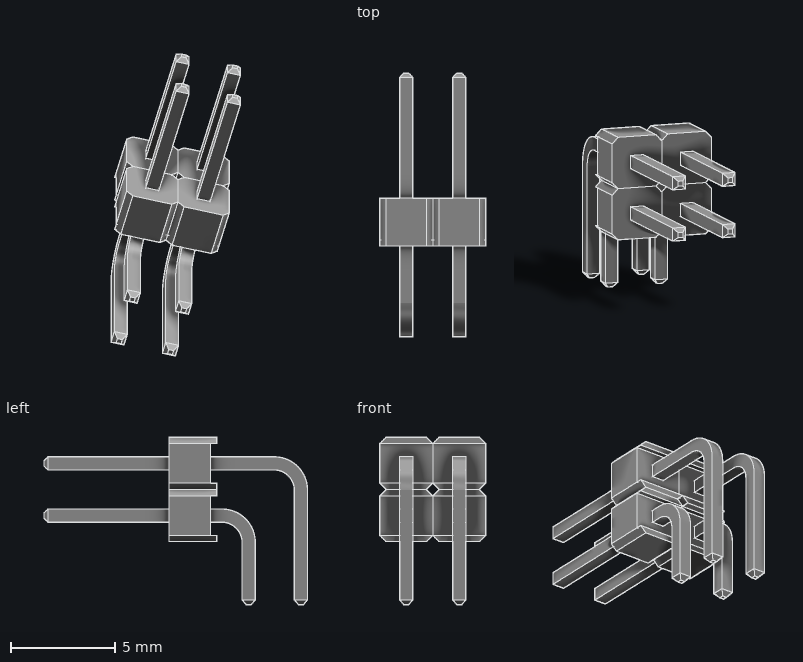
import cadquery as cq


total_length = 12.63
total_height = 8.02
column_count = 2
row_count = 2

cell_width = 2.54
cell_height = 2.5
cell_chamfer = 0.3
cell_depth = 2.3
front_recess = 0.3

pin_size = 0.65
mating_length = 5.99
inner_bend_radius = 0.96
outer_bend_radius = inner_bend_radius + pin_size
leg_pitch = cell_height
tip_inset = 0.2
mating_tip_length = 0.2
leg_tip_length = 0.24

front_leg_y = mating_length - total_length
leg_end_z = row_count * cell_height - total_height


def column_x(column):
    return (column - (column_count - 1) / 2) * cell_width


def pin_axis_z(row):
    return (row + 1 / 2) * cell_height


def make_cell(x, z):
    """One housing cell centred on the pin axis at (x, z)."""
    block = (
        cq.Workplane("XY")
        .box(cell_width, cell_depth, cell_height)
        .edges("|Y")
        .chamfer(cell_chamfer)
        .translate((0, -cell_depth / 2, 0))
    )
    recess = (
        cq.Workplane("XY")
        .box(cell_width, front_recess, cell_height - 2 * cell_chamfer)
        .translate((0, front_recess / 2 - cell_depth, 0))
    )
    pin_hole = cq.Workplane("XZ").rect(pin_size, pin_size).extrude(cell_depth)
    return block.cut(recess).cut(pin_hole).translate((x, 0, z))


def make_tip(plane, length):
    """Square pyramid frustum that ends a pin, growing along the plane normal."""
    end_size = pin_size - 2 * tip_inset
    return (
        cq.Workplane(plane)
        .rect(pin_size, pin_size)
        .workplane(offset=length)
        .rect(end_size, end_size)
        .loft(ruled=True)
    )


def make_pin(x, row):
    """One bent pin; each higher row has its leg one leg pitch further forward."""
    axis_z = pin_axis_z(row)
    top_z = axis_z + pin_size / 2
    bottom_z = axis_z - pin_size / 2
    leg_front_y = front_leg_y + (row_count - 1 - row) * leg_pitch
    leg_back_y = leg_front_y + pin_size
    mating_shoulder_y = mating_length - mating_tip_length
    leg_shoulder_z = leg_end_z + leg_tip_length
    bend_y = leg_front_y + outer_bend_radius
    bend_z = top_z - outer_bend_radius

    bar = (
        cq.Workplane("YZ")
        .moveTo(mating_shoulder_y, top_z)
        .lineTo(bend_y, top_z)
        .radiusArc((leg_front_y, bend_z), -outer_bend_radius)
        .lineTo(leg_front_y, leg_shoulder_z)
        .lineTo(leg_back_y, leg_shoulder_z)
        .lineTo(leg_back_y, bend_z)
        .radiusArc((bend_y, bottom_z), inner_bend_radius)
        .lineTo(mating_shoulder_y, bottom_z)
        .close()
        .extrude(pin_size / 2, both=True)
    )
    mating_plane = cq.Plane((0, mating_shoulder_y, axis_z), xDir=(1, 0, 0), normal=(0, 1, 0))
    leg_plane = cq.Plane(
        (0, leg_front_y + pin_size / 2, leg_shoulder_z), xDir=(1, 0, 0), normal=(0, 0, -1)
    )
    mating_tip = make_tip(mating_plane, mating_tip_length)
    leg_tip = make_tip(leg_plane, leg_tip_length)
    return bar.union(mating_tip).union(leg_tip).translate((x, 0, 0))


cells = []
pins = []
for column in range(column_count):
    for row in range(row_count):
        cells.append(make_cell(column_x(column), pin_axis_z(row)))
        pins.append(make_pin(column_x(column), row))

result = cq.Compound.makeCompound([body.val() for body in cells + pins])